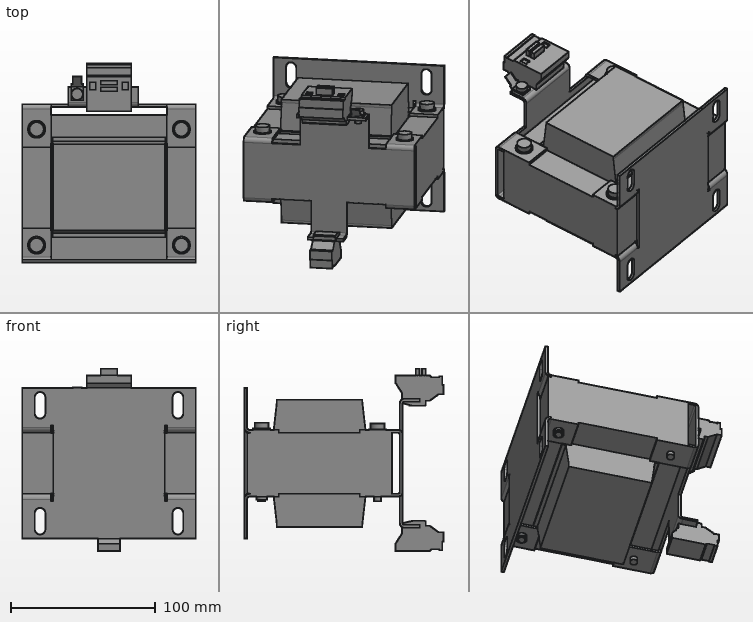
import cadquery as cq
import math

WIDTH = 120.0
SHEET = 2.0

CORE_DEPTH = 100.0
CORE_HEIGHT = 42.0
LEG = 20.0
CORE_FRONT = SHEET
CORE_BACK = CORE_FRONT + CORE_DEPTH
CORE_MID_Y = (CORE_FRONT + CORE_BACK) / 2
CORE_TOP = CORE_HEIGHT / 2
WINDOW_X = WIDTH - 2 * LEG
WINDOW_Y = CORE_DEPTH - 2 * LEG
TAB_TOP = CORE_TOP + SHEET
LEG_X = (WIDTH - LEG) / 2

COIL_WIDTH = 77.6
COIL_HEIGHT = 88.0
COIL_BASE_Y = 63.6
COIL_TOP_Y = 59.2
COIL_RIM = 2.0
BOBBIN_Y = 69.2
BOBBIN_FLANGE = 1.5

PLATE_HEIGHT = 104.0
NOTCH_HALF_X = 38.4
RELIEF_HALF_Z = 26.0
PLATE_BEND = 4.0
FRONT_TAB_END = 23.7
SLOT_X = 47.6
SLOT_Z = 40.0
SLOT_WIDTH = 7.2
SLOT_LENGTH = 18.2

BRACKET_BACK = 109.3
BRACKET_FRONT = BRACKET_BACK - SHEET
BRACKET_BEND = 3.2
REAR_TAB_END = 79.7
SHELF_OUTER = 44.5
SHELF_END = 121.3
UPPER_SHELF_X = (-28.2, 20.2)
LOWER_SHELF_X = (-12.5, 12.5)

BLOCK_WIDTH = 15.4
BLOCK_TOP = 60.6
BLOCK_PROFILE = [
    (104.4, BLOCK_TOP), (128.1, BLOCK_TOP), (129.2, 59.5), (134.5, 59.5), (134.5, 60.1),
    (136.7, 60.1), (136.7, 54.1), (137.7, 54.1), (137.7, 47.6), (134.2, 47.6),
    (127.9, 43.0), (125.4, 43.0), (125.4, 40.4), (124.6, 39.6), (116.5, 39.6),
    (108.8, 41.4), (108.8, 48.5), (104.4, 55.4),
]
BAR_LENGTH = 11.4
BAR_DEPTH = 2.8
BAR_HEIGHT = 4.8
BAR_Y = (119.7, 123.95)
POCKET_X = 11.2
POCKET_Y = 121.8
POCKET_SIZE = (4.0, 5.0)
POCKET_DEPTH = 1.0

BOLT_Y_SPACING = 80.0
BOLT_DIA = 5.1
BOLT_HEAD_DIA = 9.8
BOLT_HEAD_HEIGHT = 4.0
BOLT_WASHER_DIA = 12.0
BOLT_END = -26.3
REAR_WASHER = 0.5
FRONT_WASHER = 1.0
NUT_DIA = 7.4
NUT_HEIGHT = 2.3

EARTH_X = -22.0
EARTH_Y = 116.2
EARTH_HEAD_DIA = 7.9
EARTH_HEAD_HEIGHT = 3.1
EARTH_SCREW_DIA = 4.5
EARTH_SCREW_END = 39.6
LUG_THICKNESS = 1.2
LUG_WIDTH = 8.2
LUG_FRONT = 111.9
BLADE_WIDTH = 6.3
BLADE_THICKNESS = 0.7
BLADE_RUN = 7.3
BLADE_ROOT_RUN = 2.2


def box(x, y, z):
    """Box spanning the given (low, high) limits along each axis."""
    return cq.Workplane("XY").box(
        x[1] - x[0], y[1] - y[0], z[1] - z[0], centered=False
    ).translate((x[0], y[0], z[0]))


def side_extrude(outline, x):
    """Extrude a closed (Y, Z) outline between two X positions."""
    return outline.extrude(x[1] - x[0]).translate((x[0], 0, 0))


def rod(x, y, z, diameter):
    """Vertical cylinder between two Z levels."""
    return cq.Workplane("XY", origin=(x, y, z[0])).circle(diameter / 2).extrude(z[1] - z[0])


def bent_sheet(centre, outer_radius, y_dir, z_dir, x):
    """Quarter-round sheet bend whose arc bulges towards (y_dir, z_dir) from its centre."""
    inner_radius = outer_radius - SHEET
    diagonal = math.sqrt(0.5)
    cy, cz = centre
    outline = (
        cq.Workplane("YZ")
        .moveTo(cy + y_dir * outer_radius, cz)
        .threePointArc(
            (cy + y_dir * outer_radius * diagonal, cz + z_dir * outer_radius * diagonal),
            (cy, cz + z_dir * outer_radius),
        )
        .lineTo(cy, cz + z_dir * inner_radius)
        .threePointArc(
            (cy + y_dir * inner_radius * diagonal, cz + z_dir * inner_radius * diagonal),
            (cy + y_dir * inner_radius, cz),
        )
        .close()
    )
    return side_extrude(outline, x)


def side_spans():
    """X limits of the left and right core legs."""
    return [(-WIDTH / 2, -WINDOW_X / 2), (WINDOW_X / 2, WIDTH / 2)]


def mirror_z(solid):
    return solid.mirror("XY")


def make_core():
    return (
        cq.Workplane("XY", origin=(0, CORE_MID_Y, -CORE_TOP))
        .rect(WIDTH, CORE_DEPTH)
        .rect(WINDOW_X, WINDOW_Y)
        .extrude(CORE_HEIGHT)
    )


def make_coil():
    half_x = COIL_WIDTH / 2
    span_x = (-half_x, half_x)
    top = COIL_HEIGHT / 2
    flange_top = CORE_TOP + BOBBIN_FLANGE
    through_window = box(
        span_x,
        (CORE_MID_Y - WINDOW_Y / 2, CORE_MID_Y + WINDOW_Y / 2),
        (-CORE_TOP, CORE_TOP),
    )
    flange = box(
        span_x,
        (CORE_MID_Y - BOBBIN_Y / 2, CORE_MID_Y + BOBBIN_Y / 2),
        (CORE_TOP, flange_top),
    )
    base_half = COIL_BASE_Y / 2
    top_half = COIL_TOP_Y / 2
    outline = cq.Workplane("YZ").polyline([
        (CORE_MID_Y - base_half, flange_top),
        (CORE_MID_Y + base_half, flange_top),
        (CORE_MID_Y + top_half, top - COIL_RIM),
        (CORE_MID_Y + top_half, top),
        (CORE_MID_Y - top_half, top),
        (CORE_MID_Y - top_half, top - COIL_RIM),
    ]).close()
    upper = flange.union(side_extrude(outline, span_x))
    return through_window.union(upper).union(mirror_z(upper))


def make_mounting_plate():
    half_z = PLATE_HEIGHT / 2
    bend_z = CORE_TOP + PLATE_BEND
    plate = box((-WIDTH / 2, WIDTH / 2), (0, SHEET), (-half_z, half_z))
    slots = (
        cq.Workplane("XZ")
        .rect(2 * SLOT_X, 2 * SLOT_Z, forConstruction=True)
        .vertices()
        .slot2D(SLOT_LENGTH, SLOT_WIDTH, 90)
        .extrude(-SHEET)
    )
    plate = plate.cut(slots)
    for side, leg in zip((-1, 1), side_spans()):
        relief_x = sorted((side * NOTCH_HALF_X, side * WINDOW_X / 2))
        plate = plate.cut(box(leg, (0, SHEET), (-bend_z, bend_z)))
        plate = plate.cut(box(relief_x, (0, SHEET), (-RELIEF_HALF_Z, RELIEF_HALF_Z)))
    for leg in side_spans():
        bend = bent_sheet((PLATE_BEND, bend_z), PLATE_BEND, -1, -1, leg)
        tab = box(leg, (PLATE_BEND, FRONT_TAB_END), (CORE_TOP, TAB_TOP)).union(bend)
        plate = plate.union(tab).union(mirror_z(tab))
    return plate


def make_upright(shelf_x):
    """Upright above the cross strip, bent outwards into a shelf."""
    bend_z = SHELF_OUTER - BRACKET_BEND
    bend_y = BRACKET_FRONT + BRACKET_BEND
    strip_top = TAB_TOP - BRACKET_BEND
    upright = box(shelf_x, (BRACKET_FRONT, BRACKET_BACK), (strip_top, bend_z))
    bend = bent_sheet((bend_y, bend_z), BRACKET_BEND, -1, 1, shelf_x)
    shelf = box(shelf_x, (bend_y, SHELF_END), (SHELF_OUTER - SHEET, SHELF_OUTER))
    return upright.union(bend).union(shelf)


def make_rear_bracket():
    strip_top = TAB_TOP - BRACKET_BEND
    bend_y = BRACKET_BACK - BRACKET_BEND
    bracket = box(
        (-WIDTH / 2, WIDTH / 2), (BRACKET_FRONT, BRACKET_BACK), (-strip_top, strip_top)
    )
    bracket = bracket.union(make_upright(UPPER_SHELF_X))
    bracket = bracket.union(mirror_z(make_upright(LOWER_SHELF_X)))
    for leg in side_spans():
        bend = bent_sheet((bend_y, strip_top), BRACKET_BEND, 1, 1, leg)
        tab = box(leg, (REAR_TAB_END, bend_y), (CORE_TOP, TAB_TOP)).union(bend)
        bracket = bracket.union(tab).union(mirror_z(tab))
    return bracket


def make_block(x):
    return side_extrude(cq.Workplane("YZ").polyline(BLOCK_PROFILE).close(), x)


def make_upper_terminals():
    blocks = make_block((-BLOCK_WIDTH, BLOCK_WIDTH))
    pocket_w, pocket_d = POCKET_SIZE
    for side in (-1, 1):
        x = side * POCKET_X
        blocks = blocks.cut(box(
            (x - pocket_w / 2, x + pocket_w / 2),
            (POCKET_Y - pocket_d / 2, POCKET_Y + pocket_d / 2),
            (BLOCK_TOP - POCKET_DEPTH, BLOCK_TOP),
        ))
    for y in BAR_Y:
        blocks = blocks.union(box(
            (-BAR_LENGTH / 2, BAR_LENGTH / 2),
            (y - BAR_DEPTH / 2, y + BAR_DEPTH / 2),
            (BLOCK_TOP, BLOCK_TOP + BAR_HEIGHT),
        ))
    return blocks


def make_lower_terminal():
    return mirror_z(make_block((-BLOCK_WIDTH / 2, BLOCK_WIDTH / 2)))


def make_bolt(x, y, washer):
    head_base = TAB_TOP + washer
    shank = rod(x, y, (BOLT_END, TAB_TOP), BOLT_DIA)
    disc = rod(x, y, (TAB_TOP, head_base), BOLT_WASHER_DIA)
    head = rod(x, y, (head_base, head_base + BOLT_HEAD_HEIGHT), BOLT_HEAD_DIA)
    return shank.union(disc).union(head)


def make_bolts():
    bolts = cq.Workplane("XY")
    front_y = CORE_MID_Y - BOLT_Y_SPACING / 2
    rear_y = CORE_MID_Y + BOLT_Y_SPACING / 2
    for x in (-LEG_X, LEG_X):
        bolts = bolts.add(make_bolt(x, rear_y, REAR_WASHER))
        nut = rod(x, front_y, (-TAB_TOP - NUT_HEIGHT, -TAB_TOP), NUT_DIA)
        bolts = bolts.add(make_bolt(x, front_y, FRONT_WASHER).union(nut))
    return bolts.combine()


def make_inclined_strip(base_y, base_z, run, width):
    """Thin strip on the earth terminal rising backwards at 45 degrees from its lower corner."""
    skew = BLADE_THICKNESS * math.sqrt(0.5)
    outline = cq.Workplane("YZ").polyline([
        (base_y, base_z),
        (base_y + run, base_z + run),
        (base_y + run - skew, base_z + run + skew),
        (base_y - skew, base_z + skew),
    ]).close()
    return side_extrude(outline, (EARTH_X - width / 2, EARTH_X + width / 2))


def make_earth_terminal():
    lug_top = SHELF_OUTER + LUG_THICKNESS
    half_lug = LUG_WIDTH / 2
    lug = box(
        (EARTH_X - half_lug, EARTH_X + half_lug), (LUG_FRONT, SHELF_END), (SHELF_OUTER, lug_top)
    )
    head = rod(EARTH_X, EARTH_Y, (lug_top, lug_top + EARTH_HEAD_HEIGHT), EARTH_HEAD_DIA)
    screw = rod(EARTH_X, EARTH_Y, (EARTH_SCREW_END, SHELF_OUTER), EARTH_SCREW_DIA)
    blade_base = lug_top - BLADE_THICKNESS * math.sqrt(2)
    blade = make_inclined_strip(SHELF_END, blade_base, BLADE_RUN, BLADE_WIDTH)
    root = make_inclined_strip(SHELF_END, blade_base, BLADE_ROOT_RUN, LUG_WIDTH)
    return lug.union(head).union(screw).union(blade).union(root)


result = (
    make_core()
    .union(make_coil())
    .union(make_mounting_plate())
    .union(make_rear_bracket())
    .union(make_upper_terminals())
    .union(make_lower_terminal())
    .union(make_bolts())
    .union(make_earth_terminal())
)